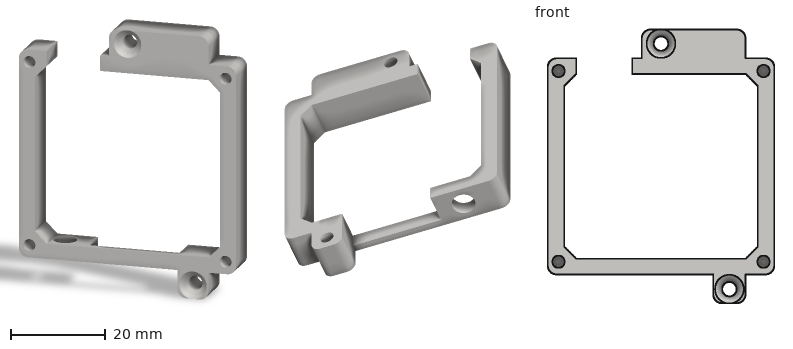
import cadquery as cq

width = 48.0
depth = 8.0
total_height = 58.0
tab_height = 6.1
frame_height = total_height - 2 * tab_height
corner_radius = 2.0

side_wall = 3.55
end_wall = 3.35
opening_chamfer = 2.55

left = -width / 2
frame_top = frame_height / 2
frame_bottom = -frame_top
corner_block = side_wall + opening_chamfer

gap_left = left + corner_block
gap_right = left + 17.9

tab_right = -left - corner_block
upper_tab_width = 22.05
lower_tab_width = 6.9
tab_left_lower = tab_right - lower_tab_width

screw_diameter = 3.0
countersink_diameter = 6.1
countersink_angle = 75
screw_edge_distance = 3.0
upper_screw_x = 0.0
lower_screw_x = tab_right - lower_tab_width / 2

pilot_diameter = 2.6
pilot_depth = 6.0
pilot_side_distance = 2.3
pilot_end_distance = 2.7

notch_left = left + 15.1
notch_front_wall = 1.55
cable_hole_diameter = 5.05
cable_hole_x = left + 9.05


def block(x_min, x_max, z_min, z_max, y_min=0.0):
    """Box reaching from y_min to the back face."""
    size = (x_max - x_min, depth - y_min, z_max - z_min)
    return cq.Workplane("XY").box(*size, centered=False).translate((x_min, y_min, z_min))


def front_plane():
    """Sketch plane on the front face, with its normal pointing out of the part."""
    return cq.Workplane("XZ")


def make_frame():
    outer = block(left, -left, frame_bottom, frame_top).edges("|Y").fillet(corner_radius)
    opening = block(left + side_wall, -left - side_wall, frame_bottom + end_wall, frame_top - end_wall)
    return outer.cut(opening.edges("|Y").chamfer(opening_chamfer))


def make_upper_tab():
    tab = block(tab_right - upper_tab_width, tab_right, frame_top - end_wall, total_height / 2)
    return tab.edges("|Y and >Z").fillet(corner_radius)


def make_lower_tab():
    tab = block(tab_left_lower, tab_right, -total_height / 2, frame_bottom + end_wall)
    return tab.edges("|Y and <Z").fillet(corner_radius)


body = make_frame().union(make_upper_tab()).union(make_lower_tab())
body = body.cut(block(gap_left, gap_right, frame_top - end_wall, frame_top))
body = body.cut(block(notch_left, tab_left_lower, frame_bottom, frame_bottom + end_wall, notch_front_wall))

cable_hole = (
    cq.Workplane("XY", origin=(cable_hole_x, depth / 2, frame_bottom))
    .circle(cable_hole_diameter / 2)
    .extrude(end_wall)
)
body = body.cut(cable_hole)

pilots = (
    front_plane()
    .rect(width - 2 * pilot_side_distance, frame_height - 2 * pilot_end_distance, forConstruction=True)
    .vertices()
    .circle(pilot_diameter / 2)
    .extrude(-pilot_depth)
)
body = body.cut(pilots)

screw_z = total_height / 2 - screw_edge_distance
result = (
    body.copyWorkplane(front_plane())
    .pushPoints([(upper_screw_x, screw_z), (lower_screw_x, -screw_z)])
    .cskHole(screw_diameter, countersink_diameter, countersink_angle)
)